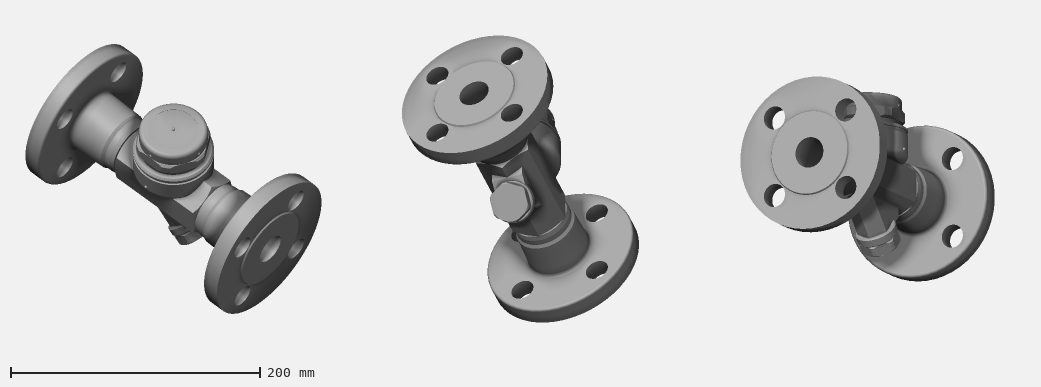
import cadquery as cq
import math


ROOT_2 = math.sqrt(2)
HEX_CORNER = 2 / math.sqrt(3)

length = 210.0
flange_dia = 125.0
raised_face_height = 1.3
raised_face_base_dia = 69.3
raised_face_dia = 67.6
flange_thickness = 15.1
flange_edge_fillet = 2.0
bolt_dia = 19.0
bolt_offset = 32.0
bore_dia = 25.0

neck_fillet = 3.0
neck_large_radius = 26.2
neck_small_radius = 25.2
neck_small_x = 56.0
collar_radius = 23.7
collar_outer_x = 53.3
collar_inner_x = 48.5
collar_end_radius = 46.0 / 2

body_length = 88.2
body_flats = 44.7
body_chamfer_length = 2.7
body_chamfer_drop = 4.8

bowl_dia = 65.0
bowl_bottom = 13.6
bowl_fillet = 5.2
groove_bottom = 34.6
groove_top = 38.0
groove_dia = 62.0
bowl_top = 41.0
bowl_chamfer = 1.5

cap_neck_dia = 54.0
cap_hex_bottom = 45.2
cap_hex_top = 54.8
cap_hex_flats = 55.5
cap_hex_round_dia = 60.3
cap_hex_chamfer = 1.7
cap_dia = 55.5
cap_top = 65.7
cap_fillet = 3.4
cap_recess_dia = 40.0
cap_recess_depth = 0.2
cap_pip_dia = 2.7

mark_dia = 3.0
cap_dimple_z = 58.4
bowl_mark_z = 21.0

boss_width = 11.1
boss_center_x = -33.8
boss_bottom = 19.0
boss_top = 26.7

branch_axis_x = -24.4
branch_flats = 25.8
branch_start = 15.1
branch_end = 57.0
web_top_z = -12.5
web_side_x = 30.0

plug_collar_start = 53.5
plug_collar_end = 61.1
plug_collar_dia = 34.0
plug_collar_chamfer = 0.8
plug_neck_dia = 28.1
plug_hex_start = 61.7
plug_hex_end = 71.0
plug_hex_flats = 29.8
plug_hex_round_dia = 32.8
plug_hex_chamfer = 1.0


def rounded_hex(plane, start, end, flats, round_dia, chamfer):
    """Hexagon along the plane normal, its corners trimmed by a chamfered cylinder."""
    base = cq.Workplane(plane).workplane(offset=start)
    height = end - start
    hexagon = base.polygon(6, flats * HEX_CORNER).extrude(height)
    trim = base.circle(round_dia / 2).extrude(height).edges().chamfer(chamfer)
    return hexagon.intersect(trim)


def make_pipe_end():
    """Flange and neck on the +X side, revolved about the pipe axis."""
    face_x = length / 2
    front_x = face_x - raised_face_height
    back_x = front_x - flange_thickness
    rim = flange_dia / 2
    rim_edge_x = back_x + flange_edge_fillet
    edge_mid = flange_edge_fillet * (1 - 1 / ROOT_2)
    root_mid = neck_fillet * (1 - 1 / ROOT_2)
    profile = (
        cq.Workplane("XY")
        .moveTo(body_length / 2, 0)
        .lineTo(face_x, 0)
        .lineTo(face_x, raised_face_dia / 2)
        .lineTo(front_x, raised_face_base_dia / 2)
        .lineTo(front_x, rim)
        .lineTo(rim_edge_x, rim)
        .threePointArc((back_x + edge_mid, rim - edge_mid), (back_x, rim - flange_edge_fillet))
        .lineTo(back_x, neck_large_radius + neck_fillet)
        .threePointArc(
            (back_x - root_mid, neck_large_radius + root_mid),
            (back_x - neck_fillet, neck_large_radius),
        )
        .lineTo(neck_small_x, neck_small_radius)
        .lineTo(collar_outer_x, collar_radius)
        .lineTo(collar_inner_x, collar_radius)
        .lineTo(body_length / 2, collar_end_radius)
        .close()
    )
    end = profile.revolve(360, (0, 0, 0), (1, 0, 0))
    bolts = (
        cq.Workplane("YZ")
        .workplane(offset=back_x)
        .rect(2 * bolt_offset, 2 * bolt_offset, forConstruction=True)
        .vertices()
        .circle(bolt_dia / 2)
        .extrude(flange_thickness)
    )
    bore_depth = face_x - body_length / 2
    bore = cq.Workplane("YZ").workplane(offset=face_x).circle(bore_dia / 2).extrude(-bore_depth)
    return end.cut(bolts).cut(bore)


def make_body():
    """Hexagonal bar along X with turned chamfers at its ends."""
    base = cq.Workplane(cq.Plane((-body_length / 2, 0, 0), xDir=(0, 0, 1), normal=(1, 0, 0)))
    corners = body_flats * HEX_CORNER
    hexagon = base.polygon(6, corners).extrude(body_length)
    half = body_length / 2
    end_radius = corners / 2 - body_chamfer_drop
    trim = (
        cq.Workplane("XY")
        .moveTo(-half, 0)
        .lineTo(-half, end_radius)
        .lineTo(body_chamfer_length - half, corners / 2)
        .lineTo(half - body_chamfer_length, corners / 2)
        .lineTo(half, end_radius)
        .lineTo(half, 0)
        .close()
        .revolve(360, (0, 0, 0), (1, 0, 0))
    )
    return hexagon.intersect(trim)


def make_bowl():
    """Round bowl with a groove below its chamfered lip."""
    bowl = cq.Workplane("XY").workplane(offset=bowl_bottom).circle(bowl_dia / 2)
    bowl = bowl.extrude(bowl_top - bowl_bottom)
    bowl = bowl.faces("<Z").edges().fillet(bowl_fillet)
    bowl = bowl.faces(">Z").edges().chamfer(bowl_chamfer)
    groove = (
        cq.Workplane("XY")
        .workplane(offset=groove_bottom)
        .circle(bowl_dia / 2)
        .circle(groove_dia / 2)
        .extrude(groove_top - groove_bottom)
    )
    mark = cq.Workplane("XY").sphere(mark_dia / 2).translate((0, -bowl_dia / 2, bowl_mark_z))
    return bowl.cut(groove).union(mark)


def make_cap():
    """Neck, hexagon and round top of the cap, with its marks."""
    neck = cq.Workplane("XY").workplane(offset=bowl_top).circle(cap_neck_dia / 2)
    neck = neck.extrude(cap_hex_top - bowl_top)
    hexagon = rounded_hex(
        cq.Plane.XY(),
        cap_hex_bottom,
        cap_hex_top,
        cap_hex_flats,
        cap_hex_round_dia,
        cap_hex_chamfer,
    )
    top = cq.Workplane("XY").workplane(offset=cap_hex_top).circle(cap_dia / 2)
    top = top.extrude(cap_top - cap_hex_top).faces(">Z").edges().fillet(cap_fillet)
    recess = cq.Workplane("XY").workplane(offset=cap_top).circle(cap_recess_dia / 2)
    cap = neck.union(hexagon).union(top).cut(recess.extrude(-cap_recess_depth))
    dimple = cq.Workplane("XY").sphere(mark_dia / 2).translate((cap_dia / 2, 0, cap_dimple_z))
    for quarter in range(4):
        cap = cap.cut(dimple.rotate((0, 0, 0), (0, 0, 1), 90 * quarter))
    return cap.union(cq.Workplane("XY").sphere(cap_pip_dia / 2).translate((0, 0, cap_top)))


def make_boss():
    """Round-ended boss running from the sloping top faces into the bowl."""
    return (
        cq.Workplane("XY")
        .workplane(offset=boss_bottom)
        .center(boss_center_x / 2, 0)
        .slot2D(boss_width - boss_center_x, boss_width)
        .extrude(boss_top - boss_bottom)
    )


def make_branch():
    """Inclined hexagonal branch, the web filling its upper side, and the plug."""
    plane = cq.Plane((branch_axis_x, 0, 0), xDir=(1, 0, 1), normal=(1, 0, -1))
    corner_dia = branch_flats * HEX_CORNER
    bar = cq.Workplane(plane).workplane(offset=branch_start).polygon(6, corner_dia)
    bar = bar.extrude(branch_end - branch_start)

    edge_sum = branch_axis_x - corner_dia / 4 * ROOT_2
    end_difference = branch_axis_x + branch_end * ROOT_2
    web = (
        cq.Workplane("XZ")
        .moveTo(edge_sum - web_top_z, web_top_z)
        .lineTo(web_side_x, web_top_z)
        .lineTo(web_side_x, web_side_x - end_difference)
        .lineTo((edge_sum + end_difference) / 2, (edge_sum - end_difference) / 2)
        .close()
        .extrude(branch_flats / 2, both=True)
    )

    collar = cq.Workplane(plane).workplane(offset=plug_collar_start).circle(plug_collar_dia / 2)
    collar = collar.extrude(plug_collar_end - plug_collar_start).edges().chamfer(plug_collar_chamfer)
    neck = cq.Workplane(plane).workplane(offset=plug_collar_start).circle(plug_neck_dia / 2)
    neck = neck.extrude(plug_hex_end - plug_collar_start)
    head = rounded_hex(
        plane,
        plug_hex_start,
        plug_hex_end,
        plug_hex_flats,
        plug_hex_round_dia,
        plug_hex_chamfer,
    )
    return bar.union(web).union(collar).union(neck).union(head)


pipe_end = make_pipe_end()
result = make_body().union(pipe_end).union(pipe_end.mirror("YZ"))
for feature in (make_bowl(), make_cap(), make_boss(), make_branch()):
    result = result.union(feature)